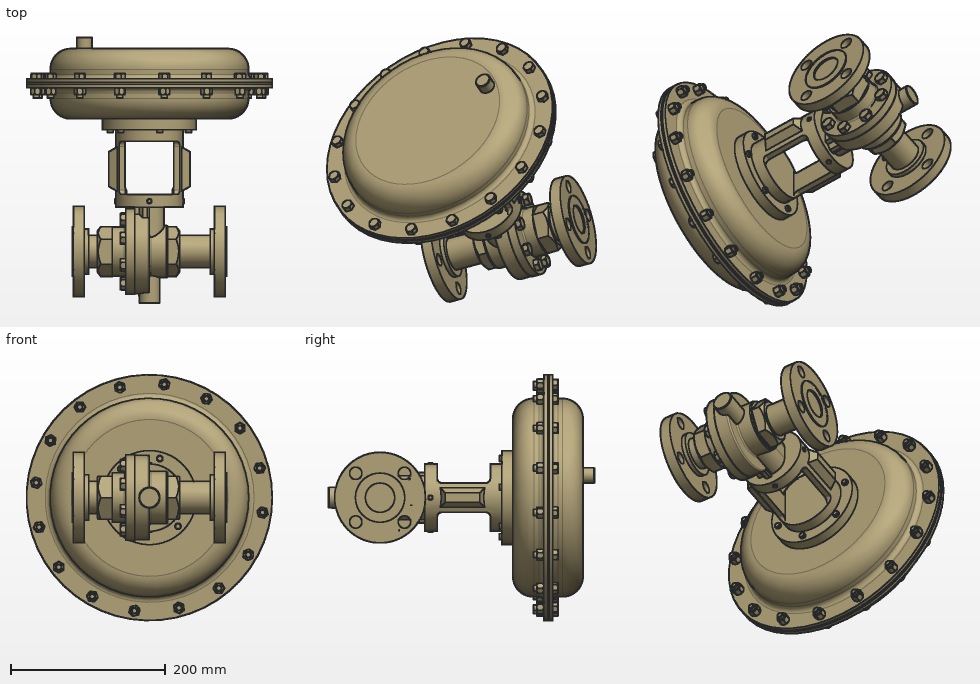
import cadquery as cq
import math

X_DIR = (1, 0, 0)
Y_DIR = (0, 1, 0)
Z_DIR = (0, 0, 1)
ORIGIN = (0, 0, 0)

ARC_MIDDLE = math.sin(math.radians(45))

HEX_SIDES = 6
HEX_CORNER_RATIO = 1 / math.cos(math.pi / HEX_SIDES)
HEX_CHAMFER_SLOPE = math.tan(math.radians(60))

case_radius = 158.75
dome_radius = 128.2
dome_round = 27.0
dome_front_y = 171.1
dome_back_y = 262.1
rim_front_y = 211.3
rim_back_y = 223.0
rim_front_thickness = 4.8
diaphragm_thickness = 2.2
diaphragm_inset = 0.4
rim_front_fillet = 6.6
rim_back_fillet = 6.0

case_bolt_count = 16
case_bolt_circle_radius = 147.3
case_bolt_start = 15.0
case_bolt_diameter = 8.0
case_nut_flats = 12.7
case_nut_height = 9.2
case_head_height = 6.8
case_bolt_tip = 4.4
case_nut_turn = -7.5
case_head_turn = -30.0
thread_chamfer = 0.7

port_angle = 161.2
port_offset = 88.7
port_radius = 10.0
port_back_y = 276.84
end_chamfer = 0.8

hub_radius = 60.7
hub_front_y = 157.1
hub_bolt_count = 6
hub_bolt_circle_radius = 52.2
hub_bolt_start = 15.0
hub_bolt_diameter = 8.0
hub_bolt_height = 3.6
yoke_radius = 43.5
yoke_front_y = 57.4
window_front_y = 73.8
window_back_y = 142.2
leg_inner_x = 31.4
leg_half_width = 19.0
leg_fillet = 6.0
gusset_width = 2.2
gusset_land = 4.2
gusset_height = 9.7
set_screw_count = 4
set_screw_y = 65.0
set_screw_diameter = 6.2
set_screw_height = 1.2
set_screw_chamfer = 0.6

pad_tip_x = 52.6
pad_draft = 30.0
pad_tip_half_width = 6.2
pad_tip_front_y = 84.0
pad_tip_back_y = 128.7

body_radius = 54.6
body_round = 2.0
cover_radius = 55.4
cover_left_x = -30.8
cover_right_x = -19.2
cover_bolt_count = 8
cover_bolt_circle_radius = 45.0
cover_head_flats = 14.3
cover_head_height = 7.0
cover_head_turn = -15.0
left_boss_radius = 31.9
left_boss_end_x = -47.8
right_boss_radius = 33.8
right_boss_end_x = 23.7
right_boss_chamfer = 2.0
boss_fillet = 2.0

neck_width = 38.0
neck_height = 57.0
bonnet_half_height = 33.0
bonnet_step_half_height = 26.3
bonnet_flat_left_x = -8.4
bonnet_flat_right_x = -3.0
bonnet_step_x = -13.0
bonnet_edge_drop = 1.0

stub_radius = 13.4
stub_end_y = -66.7

union_flats = 55.8
union_left_end_x = -67.2
union_right_end_x = 39.0
union_chamfer_length = 4.5
union_chamfer_depth = 6.0
pipe_radius = 21.1

flange_face_x = 99.6
raised_face_height = 1.4
raised_face_radius = 31.8
flange_radius = 58.65
flange_thickness = 14.4
flange_hub_radius = 29.3
flange_hub_length = 5.4
flange_bolt_circle_radius = 44.45
flange_hole_diameter = 15.9
flange_hole_count = 4
bore_radius = 18.9
bore_recess = 2.0


def y_cylinder(radius, start_y, end_y, x=0.0, z=0.0):
    """Cylinder along Y; start_y is smaller than end_y."""
    solid = cq.Solid.makeCylinder(radius, end_y - start_y, cq.Vector(x, start_y, z), cq.Vector(*Y_DIR))
    return cq.Workplane(obj=solid)


def x_cylinder(radius, start_x, end_x, y=0.0, z=0.0):
    """Cylinder along X; start_x is smaller than end_x."""
    solid = cq.Solid.makeCylinder(radius, end_x - start_x, cq.Vector(start_x, y, z), cq.Vector(*X_DIR))
    return cq.Workplane(obj=solid)


def around(count, radius, start):
    """Angle in degrees and the two offsets of each place on a bolt circle."""
    places = []
    for index in range(count):
        angle = start + index * 360.0 / count
        turn = math.radians(angle)
        places.append((angle, radius * math.cos(turn), radius * math.sin(turn)))
    return places


def hexagon(flats, height, near_chamfer=False, far_chamfer=False):
    """Hexagon prism on +Z with a corner on +X; a chamfered end is turned down to the flats."""
    corner_diameter = flats * HEX_CORNER_RATIO
    prism = cq.Workplane("XY").polygon(HEX_SIDES, corner_diameter).extrude(height)
    depth = (corner_diameter - flats) / 2
    length = depth * HEX_CHAMFER_SLOPE
    envelope = cq.Workplane("XY").circle(corner_diameter / 2).extrude(height)
    if near_chamfer:
        envelope = envelope.faces("<Z").chamfer(length, depth)
    if far_chamfer:
        envelope = envelope.faces(">Z").chamfer(length, depth)
    return prism.intersect(envelope)


def point_along_y(part, turn, x, y, z):
    """Turn a +Z part about its axis by the angle seen in XZ, lay it towards -Y and move it to place."""
    laid = part.rotate(ORIGIN, Z_DIR, turn).rotate(ORIGIN, X_DIR, 90)
    return laid.translate((x, y, z))


def make_case():
    """Two pressed domes clamped at a broad rim, with the diaphragm edge between them."""
    flat_radius = dome_radius - dome_round
    bend = dome_round * ARC_MIDDLE
    front_center_y = dome_front_y + dome_round
    back_center_y = dome_back_y - dome_round
    diaphragm_front_y = rim_front_y + rim_front_thickness
    diaphragm_back_y = diaphragm_front_y + diaphragm_thickness
    front_foot = rim_front_fillet * (1 - ARC_MIDDLE)
    back_foot = rim_back_fillet * (1 - ARC_MIDDLE)
    return (
        cq.Workplane("XY")
        .moveTo(0, dome_front_y)
        .lineTo(flat_radius, dome_front_y)
        .threePointArc((flat_radius + bend, front_center_y - bend), (dome_radius, front_center_y))
        .lineTo(dome_radius, rim_front_y - rim_front_fillet)
        .threePointArc(
            (dome_radius + front_foot, rim_front_y - front_foot),
            (dome_radius + rim_front_fillet, rim_front_y),
        )
        .lineTo(case_radius, rim_front_y)
        .lineTo(case_radius, diaphragm_front_y)
        .lineTo(case_radius - diaphragm_inset, diaphragm_front_y)
        .lineTo(case_radius - diaphragm_inset, diaphragm_back_y)
        .lineTo(case_radius, diaphragm_back_y)
        .lineTo(case_radius, rim_back_y)
        .lineTo(dome_radius + rim_back_fillet, rim_back_y)
        .threePointArc(
            (dome_radius + back_foot, rim_back_y + back_foot),
            (dome_radius, rim_back_y + rim_back_fillet),
        )
        .lineTo(dome_radius, back_center_y)
        .threePointArc((flat_radius + bend, back_center_y + bend), (flat_radius, dome_back_y))
        .lineTo(0, dome_back_y)
        .close()
        .revolve(360, ORIGIN, Y_DIR)
    )


def make_case_bolts():
    """Bolt heads on the back of the rim, nuts and thread ends on the front."""
    nut = hexagon(case_nut_flats, case_nut_height, near_chamfer=True, far_chamfer=True)
    thread_length = case_nut_height + case_bolt_tip
    thread = cq.Workplane("XY").circle(case_bolt_diameter / 2).extrude(thread_length)
    nut = nut.union(thread.faces(">Z").chamfer(thread_chamfer))
    head = hexagon(case_nut_flats, case_head_height, near_chamfer=True)
    bolts = []
    for angle, x, z in around(case_bolt_count, case_bolt_circle_radius, case_bolt_start):
        bolts.append(point_along_y(nut, angle + case_nut_turn, x, rim_front_y, z))
        bolts.append(point_along_y(head, angle + case_head_turn, x, rim_back_y + case_head_height, z))
    return bolts


def make_port():
    turn = math.radians(port_angle)
    x = port_offset * math.cos(turn)
    z = port_offset * math.sin(turn)
    port = y_cylinder(port_radius, dome_back_y - dome_round, port_back_y, x, z)
    return port.faces(">Y").chamfer(end_chamfer)


def make_leg_pad():
    """Tapered pad on the +X leg, drafted on all four sides."""
    depth = pad_tip_x - leg_inner_x
    middle_y = (pad_tip_front_y + pad_tip_back_y) / 2
    spread = 2 * depth * math.tan(math.radians(pad_draft))
    length = pad_tip_back_y - pad_tip_front_y
    width = 2 * pad_tip_half_width
    root = cq.Workplane("YZ", origin=(leg_inner_x, middle_y, 0)).rect(length + spread, width + spread)
    return root.workplane(offset=depth).rect(length, width).loft(ruled=True)


def make_yoke():
    """Turned yoke with a hub, cut away to two legs, with pads, gussets and set screws."""
    yoke = y_cylinder(yoke_radius, yoke_front_y, hub_front_y)
    window_length = window_back_y - window_front_y
    window_middle_y = (window_back_y + window_front_y) / 2
    opening = cq.Workplane("XY").box(2 * leg_inner_x, window_length, 2 * yoke_radius)
    yoke = yoke.cut(opening.translate((0, window_middle_y, 0)))
    side_depth = yoke_radius
    side = cq.Workplane("XY").box(2 * yoke_radius, window_length, side_depth)
    side = side.edges("|X and <Z").fillet(leg_fillet)
    side = side.translate((0, window_middle_y, leg_half_width + side_depth / 2))
    yoke = yoke.cut(side).cut(side.mirror("XY"))

    gusset_x = leg_inner_x - gusset_width
    gusset = (
        cq.Workplane("XY", origin=(0, 0, -leg_half_width))
        .moveTo(leg_inner_x, window_front_y)
        .lineTo(gusset_x, window_front_y)
        .lineTo(gusset_x, window_front_y + gusset_land)
        .lineTo(leg_inner_x, window_front_y + gusset_height)
        .close()
        .extrude(2 * leg_half_width)
    )
    pad = make_leg_pad()
    for extra in (gusset, pad):
        yoke = yoke.union(extra).union(extra.mirror("YZ"))

    screw_end = yoke_radius + set_screw_height
    screw = x_cylinder(set_screw_diameter / 2, leg_inner_x, screw_end, y=set_screw_y)
    screw = screw.faces(">X").chamfer(set_screw_chamfer)
    for index in range(set_screw_count):
        yoke = yoke.union(screw.rotate(ORIGIN, Y_DIR, index * 360.0 / set_screw_count))

    yoke = yoke.union(y_cylinder(hub_radius, hub_front_y, dome_front_y))
    bolt_front_y = hub_front_y - hub_bolt_height
    for _, x, z in around(hub_bolt_count, hub_bolt_circle_radius, hub_bolt_start):
        bolt = y_cylinder(hub_bolt_diameter / 2, bolt_front_y, dome_front_y, x, z)
        yoke = yoke.union(bolt.faces("<Y").chamfer(thread_chamfer))
    return yoke


def make_bonnet():
    """Obround neck with a stepped block behind the cover."""
    neck = (
        cq.Workplane("XZ", origin=(0, yoke_front_y, 0))
        .slot2D(neck_height, neck_width, 90)
        .extrude(yoke_front_y)
    )
    block_half = (
        cq.Workplane("XZ", origin=(0, yoke_front_y, 0))
        .moveTo(0, 0)
        .lineTo(0, bonnet_half_height - bonnet_edge_drop)
        .lineTo(bonnet_flat_right_x, bonnet_half_height)
        .lineTo(bonnet_flat_left_x, bonnet_half_height)
        .lineTo(bonnet_step_x, bonnet_step_half_height)
        .lineTo(cover_right_x, bonnet_step_half_height)
        .lineTo(cover_right_x, 0)
        .close()
        .extrude(yoke_front_y)
    )
    return neck.union(block_half).union(block_half.mirror("XY"))


def root_fillet(radius, face_x, end_x):
    """Solid of revolution about X that rounds the corner between a boss and the face it stands on."""
    outer = radius + boss_fillet
    bend = boss_fillet * ARC_MIDDLE
    middle_x = end_x + math.copysign(bend, face_x - end_x)
    return (
        cq.Workplane("XY")
        .moveTo(face_x, 0)
        .lineTo(face_x, outer)
        .threePointArc((middle_x, outer - bend), (end_x, radius))
        .lineTo(end_x, 0)
        .close()
        .revolve(360, ORIGIN, X_DIR)
    )


def make_body():
    """Turned valve body, cover, bosses, bonnet, stub and cover bolts."""
    body = x_cylinder(body_radius, cover_right_x, 0).faces(">X").edges().fillet(body_round)
    boss = x_cylinder(right_boss_radius, cover_left_x, right_boss_end_x)
    boss = boss.faces(">X").chamfer(right_boss_chamfer, right_boss_chamfer / 2)
    body = body.union(boss)
    body = body.union(root_fillet(right_boss_radius, 0, boss_fillet))
    body = body.union(x_cylinder(cover_radius, cover_left_x, cover_right_x))
    body = body.union(x_cylinder(left_boss_radius, left_boss_end_x, cover_left_x))
    body = body.union(root_fillet(left_boss_radius, cover_left_x, cover_left_x - boss_fillet))
    body = body.union(make_bonnet())
    stub = y_cylinder(stub_radius, stub_end_y, 0).faces("<Y").chamfer(end_chamfer)
    body = body.union(stub)
    head = hexagon(cover_head_flats, cover_head_height, near_chamfer=True)
    head = head.rotate(ORIGIN, Y_DIR, 90)
    half_step = 180.0 / cover_bolt_count
    for angle, y, z in around(cover_bolt_count, cover_bolt_circle_radius, half_step):
        placed = head.rotate(ORIGIN, X_DIR, angle + cover_head_turn)
        body = body.union(placed.translate((cover_left_x - cover_head_height, y, z)))
    return body


def make_union_nut(start_x, end_x):
    """Hexagon nut with corners on +Y and -Y, turned down at the end away from the body."""
    length = abs(end_x - start_x)
    corner_diameter = union_flats * HEX_CORNER_RATIO
    nut = cq.Workplane("XY").polygon(HEX_SIDES, corner_diameter).extrude(length)
    envelope = cq.Workplane("XY").circle(corner_diameter / 2).extrude(length)
    envelope = envelope.faces(">Z").chamfer(union_chamfer_length, union_chamfer_depth)
    nut = nut.intersect(envelope).rotate(ORIGIN, Z_DIR, 90)
    nut = nut.rotate(ORIGIN, Y_DIR, math.copysign(90, end_x - start_x))
    return nut.translate((start_x, 0, 0))


def make_flange():
    """Raised-face flange at the +X end, with its hub, bolt holes and bore."""
    seat_x = flange_face_x - raised_face_height
    back_x = seat_x - flange_thickness
    flange = x_cylinder(flange_radius, back_x, seat_x)
    flange = flange.union(x_cylinder(raised_face_radius, back_x, flange_face_x))
    flange = flange.union(x_cylinder(flange_hub_radius, back_x - flange_hub_length, back_x))
    for _, y, z in around(flange_hole_count, flange_bolt_circle_radius, 180.0 / flange_hole_count):
        flange = flange.cut(x_cylinder(flange_hole_diameter / 2, back_x, seat_x, y, z))
    return flange.cut(x_cylinder(bore_radius, flange_face_x - bore_recess, flange_face_x))


pipe_end_x = flange_face_x - raised_face_height - flange_thickness
flange = make_flange()

result = make_case().union(make_port()).union(make_yoke()).union(make_body())
for bolt in make_case_bolts():
    result = result.union(bolt)
result = result.union(x_cylinder(pipe_radius, -pipe_end_x, pipe_end_x))
result = result.union(make_union_nut(left_boss_end_x, union_left_end_x))
result = result.union(make_union_nut(right_boss_end_x, union_right_end_x))
result = result.union(flange).union(flange.mirror("YZ"))